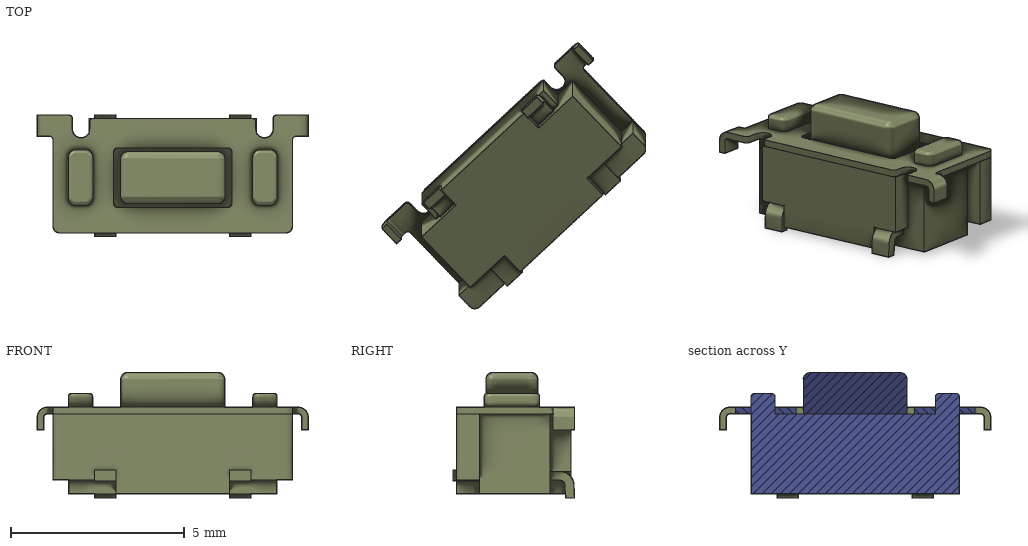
import cadquery as cq


HOUSING_WIDTH = 6.895
HOUSING_DEPTH = 3.3
HOUSING_HEIGHT = 2.3
WAIST_WIDTH = 5.99
REAR_WIDTH = 4.83
FLANK_BACK_Y = -0.99
REAR_BLOCK_Y = 1.045
FLANK_HEIGHT = 1.895
REAR_BLOCK_HEIGHT = 1.66
FRONT_CORNER_RADIUS = 0.2
FRONT_Y = -HOUSING_DEPTH / 2
BACK_Y = HOUSING_DEPTH / 2

LEAD_WIDTH = 0.61
LEAD_X = 1.94
LEAD_INNER_X = LEAD_X - LEAD_WIDTH / 2
LEAD_PROTRUSION = 0.1
FRONT_LEAD_TOP_Z = -1.615
FRONT_LEAD_THICKNESS = 0.31
REAR_LEAD_THICKNESS = 0.24
REAR_LEG_THICKNESS = 0.26
REAR_LEG_LEAN = 0.03
REAR_LEAD_INNER_RADIUS = 0.155
REAR_LEAD_OUTER_RADIUS = REAR_LEAD_INNER_RADIUS + REAR_LEAD_THICKNESS
FOOT_DROP = 0.125

COVER_THICKNESS = 0.195
TAB_SPAN = 7.8
TAB_WIDTH = 0.62
TAB_DROP = 0.655
TAB_BEND_RADIUS = 0.3
TAB_BACK_Y = BACK_Y + LEAD_PROTRUSION
TAB_FRONT_Y = TAB_BACK_Y - TAB_WIDTH
SLOT_X = 2.64
SLOT_WIDTH = 0.5
SLOT_DEPTH = 0.55
COVER_SMALL_RADIUS = 0.1
WINDOW_LENGTH = 3.4
WINDOW_WIDTH = 1.715
WINDOW_CORNER_RADIUS = 0.12

CENTRE_Y = -0.055
BUTTON_LENGTH = 2.995
BUTTON_WIDTH = 1.5
BUTTON_RISE = 1.0
BUTTON_RADIUS = 0.2
POST_X = 2.65
POST_WIDTH = 0.7
POST_LENGTH = 1.6
POST_RISE = 0.4
POST_CORNER_RADIUS = 0.2
POST_TOP_RADIUS = 0.1


def box(x_range, y_range, z_range):
    """Box between the given limits along each axis."""
    size = [high - low for low, high in (x_range, y_range, z_range)]
    corner = (x_range[0], y_range[0], z_range[0])
    return cq.Workplane("XY").box(*size, centered=False).translate(corner)


def both_sides(shape):
    """The shape together with its mirror image across the YZ plane."""
    return shape.union(shape.mirror("YZ"))


def make_post_blanks():
    """Two upright posts, from the top of the housing to above the cover."""
    return (
        cq.Workplane("XY")
        .pushPoints([(-POST_X, CENTRE_Y), (POST_X, CENTRE_Y)])
        .rect(POST_WIDTH, POST_LENGTH)
        .extrude(COVER_THICKNESS + POST_RISE)
        .edges("|Z")
        .fillet(POST_CORNER_RADIUS)
    )


def make_rear_lead():
    """Strip that leaves the rear step, bends down and ends in a foot behind the housing."""
    top_z = -REAR_BLOCK_HEIGHT
    under_z = top_z - REAR_LEAD_THICKNESS
    foot_z = -HOUSING_HEIGHT - FOOT_DROP
    foot_y = BACK_Y + LEAD_PROTRUSION
    leg_y = foot_y - REAR_LEG_LEAN
    strip = (
        cq.Workplane("YZ")
        .polyline([
            (REAR_BLOCK_Y, top_z),
            (leg_y, top_z),
            (foot_y, foot_z),
            (foot_y - REAR_LEG_THICKNESS, foot_z),
            (leg_y - REAR_LEG_THICKNESS, under_z),
            (REAR_BLOCK_Y, under_z),
        ])
        .close()
        .extrude(LEAD_WIDTH)
        .translate((LEAD_INNER_X, 0, 0))
    )
    outer_bend = cq.selectors.NearestToPointSelector((LEAD_X, leg_y, top_z))
    inner_bend = cq.selectors.NearestToPointSelector((LEAD_X, leg_y - REAR_LEG_THICKNESS, under_z))
    strip = strip.edges("|X").edges(outer_bend).fillet(REAR_LEAD_OUTER_RADIUS)
    return strip.edges("|X").edges(inner_bend).fillet(REAR_LEAD_INNER_RADIUS)


def make_housing():
    """Stepped block with lead recesses, four leads and two posts that locate the cover."""
    half_flanks = HOUSING_WIDTH / 2
    half_waist = WAIST_WIDTH / 2
    half_rear = REAR_WIDTH / 2
    body = box((-half_flanks, half_flanks), (FRONT_Y, FLANK_BACK_Y), (-HOUSING_HEIGHT, 0))
    body = body.edges("|Z and <Y").fillet(FRONT_CORNER_RADIUS)
    body = body.union(box((-half_waist, half_waist), (FLANK_BACK_Y, REAR_BLOCK_Y), (-HOUSING_HEIGHT, 0)))
    body = body.union(box((-half_rear, half_rear), (REAR_BLOCK_Y, BACK_Y), (-HOUSING_HEIGHT, 0)))

    recess_x = (LEAD_INNER_X, half_flanks)
    front_step = box(recess_x, (FRONT_Y, FLANK_BACK_Y), (-HOUSING_HEIGHT, -FLANK_HEIGHT))
    rear_step = box(recess_x, (REAR_BLOCK_Y, BACK_Y), (-HOUSING_HEIGHT, -REAR_BLOCK_HEIGHT))
    body = body.cut(both_sides(front_step)).cut(both_sides(rear_step))

    front_lead = box(
        (LEAD_INNER_X, LEAD_INNER_X + LEAD_WIDTH),
        (FRONT_Y - LEAD_PROTRUSION, FLANK_BACK_Y),
        (FRONT_LEAD_TOP_Z - FRONT_LEAD_THICKNESS, FRONT_LEAD_TOP_Z),
    )
    body = body.union(both_sides(front_lead)).union(both_sides(make_rear_lead()))

    posts = make_post_blanks().faces(">Z").edges().fillet(POST_TOP_RADIUS)
    return body.union(posts)


def make_tab():
    """Strip of the cover that reaches outward at the back and bends down at its end."""
    tip_x = TAB_SPAN / 2
    tip_z = COVER_THICKNESS - TAB_DROP
    blank = box((SLOT_X, tip_x), (TAB_FRONT_Y, TAB_BACK_Y), (tip_z, COVER_THICKNESS))
    blank = blank.edges(">X and >Z").fillet(TAB_BEND_RADIUS)
    under = box((SLOT_X, tip_x - COVER_THICKNESS), (TAB_FRONT_Y, TAB_BACK_Y), (tip_z, 0))
    under = under.edges(">X and >Z").fillet(TAB_BEND_RADIUS - COVER_THICKNESS)
    return blank.cut(under)


def make_slot():
    """Round-ended slot between a tab and the middle of the cover, open at the back."""
    radius = SLOT_WIDTH / 2
    end_y = BACK_Y - SLOT_DEPTH + radius
    straight = box((SLOT_X - radius, SLOT_X + radius), (end_y, TAB_BACK_Y), (0, COVER_THICKNESS))
    round_end = cq.Workplane("XY").center(SLOT_X, end_y).circle(radius).extrude(COVER_THICKNESS)
    return straight.union(round_end)


def make_cover():
    """Flat plate with two bent tabs, two slots, a button window and two post holes."""
    half_width = HOUSING_WIDTH / 2
    plate = box((-half_width, half_width), (FRONT_Y, BACK_Y), (0, COVER_THICKNESS))
    plate = plate.edges("|Z and <Y").fillet(FRONT_CORNER_RADIUS)
    plate = plate.union(both_sides(make_tab())).cut(both_sides(make_slot()))

    slot_half = SLOT_WIDTH / 2
    mid_z = COVER_THICKNESS / 2
    for side in (-1, 1):
        for x, y in [
            (SLOT_X - slot_half, BACK_Y),
            (SLOT_X + slot_half, TAB_BACK_Y),
            (half_width, TAB_FRONT_Y),
        ]:
            corner = cq.selectors.NearestToPointSelector((side * x, y, mid_z))
            plate = plate.edges("|Z").edges(corner).fillet(COVER_SMALL_RADIUS)

    window = (
        cq.Workplane("XY")
        .center(0, CENTRE_Y)
        .rect(WINDOW_LENGTH, WINDOW_WIDTH)
        .extrude(COVER_THICKNESS)
        .edges("|Z")
        .fillet(WINDOW_CORNER_RADIUS)
    )
    return plate.cut(window).cut(make_post_blanks())


def make_button():
    """Rounded push button that stands on the housing and rises through the window."""
    return (
        cq.Workplane("XY")
        .center(0, CENTRE_Y)
        .rect(BUTTON_LENGTH, BUTTON_WIDTH)
        .extrude(COVER_THICKNESS + BUTTON_RISE)
        .edges("|Z or >Z")
        .fillet(BUTTON_RADIUS)
    )


housing = make_housing()
cover = make_cover()
button = make_button()

result = cq.Compound.makeCompound([housing.val(), cover.val(), button.val()])